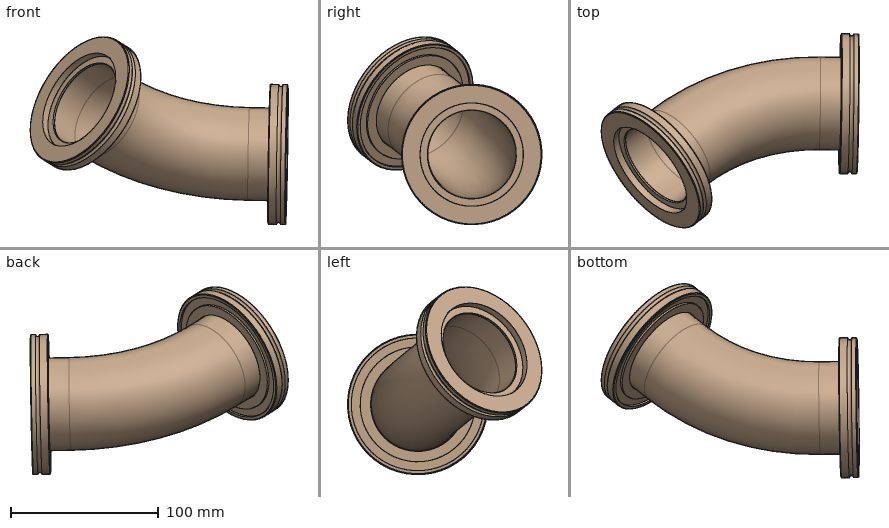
import cadquery as cq
import math

BEND_ANGLE = 45.0
LEG_LENGTH = 82.5
STRAIGHT_LENGTH = 26.0
BEND_RADIUS = (LEG_LENGTH - STRAIGHT_LENGTH) / math.tan(math.radians(BEND_ANGLE / 2))

TILT_ANGLE = 1.2
ROLL_ANGLE = 53.2

TUBE_DIAMETER = 63.0
TUBE_BORE = 60.0

FLANGE_DIAMETER = 95.0
FLANGE_THICKNESS = 12.0
EDGE_CHAMFER = 0.5
HUB_DIAMETER = 78.0
BACK_RECESS_DIAMETER = 90.0
BACK_RECESS_DEPTH = 1.5
RECESS_DIAMETER = 70.0
RECESS_DEPTH = 5.0
FLANGE_BORE = 60.2
SOCKET_DIAMETER = 63.7
SOCKET_FLOOR_DEPTH = 6.5
GROOVE_RADIUS = 1.4
GROOVE_DEPTH_FROM_FACE = 4.9


def make_flange():
    """Flange on the Z axis: sealing face at Z = 0, socket and ring-shaped back recess toward -Z."""
    disc = cq.Workplane("XY").circle(FLANGE_DIAMETER / 2).extrude(-FLANGE_THICKNESS)
    disc = disc.edges().chamfer(EDGE_CHAMFER)
    back_recess = (
        cq.Workplane("XY", origin=(0, 0, -FLANGE_THICKNESS))
        .circle(BACK_RECESS_DIAMETER / 2)
        .circle(HUB_DIAMETER / 2)
        .extrude(BACK_RECESS_DEPTH)
    )
    recess = cq.Workplane("XY").circle(RECESS_DIAMETER / 2).extrude(-RECESS_DEPTH)
    bore = cq.Workplane("XY").circle(FLANGE_BORE / 2).extrude(-FLANGE_THICKNESS)
    socket = (
        cq.Workplane("XY", origin=(0, 0, -SOCKET_FLOOR_DEPTH))
        .circle(SOCKET_DIAMETER / 2)
        .extrude(SOCKET_FLOOR_DEPTH - FLANGE_THICKNESS)
    )
    groove = cq.Workplane(
        cq.Solid.makeTorus(
            FLANGE_DIAMETER / 2, GROOVE_RADIUS, cq.Vector(0, 0, -GROOVE_DEPTH_FROM_FACE)
        )
    )
    return disc.cut(back_recess).cut(recess).cut(bore).cut(socket).cut(groove)


def make_tube(end_axis):
    """Tube in the XZ plane, from the leg along +X through the bend to the leg along end_axis."""
    seat = LEG_LENGTH - SOCKET_FLOOR_DEPTH
    tangent = LEG_LENGTH - STRAIGHT_LENGTH
    middle_direction = (cq.Vector(1, 0, 0) + end_axis).normalized()
    sagitta_offset = BEND_RADIUS / math.cos(math.radians(BEND_ANGLE / 2)) - BEND_RADIUS
    bend_middle = middle_direction * sagitta_offset

    path = cq.Workplane(
        cq.Wire.assembleEdges(
            [
                cq.Edge.makeLine(cq.Vector(seat, 0, 0), cq.Vector(tangent, 0, 0)),
                cq.Edge.makeThreePointArc(
                    cq.Vector(tangent, 0, 0), bend_middle, end_axis * tangent
                ),
                cq.Edge.makeLine(end_axis * tangent, end_axis * seat),
            ]
        )
    )
    return (
        cq.Workplane("YZ", origin=(seat, 0, 0))
        .circle(TUBE_DIAMETER / 2)
        .circle(TUBE_BORE / 2)
        .sweep(path)
    )


def set_attitude(body):
    """Tilt the elbow about Z, then roll it about X."""
    origin = (0, 0, 0)
    tilted = body.rotate(origin, (0, 0, 1), -TILT_ANGLE)
    return tilted.rotate(origin, (1, 0, 0), ROLL_ANGLE)


bend = math.radians(BEND_ANGLE)
bent_axis = cq.Vector(-math.cos(bend), 0, math.sin(bend))
leg_axes = [cq.Vector(1, 0, 0), bent_axis]

tube = set_attitude(make_tube(bent_axis))

flange_template = make_flange().val()
flanges = []
for axis in leg_axes:
    face_plane = cq.Plane(origin=axis * LEG_LENGTH, xDir=(0, 1, 0), normal=axis)
    flange = cq.Workplane(flange_template.moved(cq.Location(face_plane)))
    flanges.append(set_attitude(flange))

result = cq.Compound.makeCompound([tube.val(), *[flange.val() for flange in flanges]])